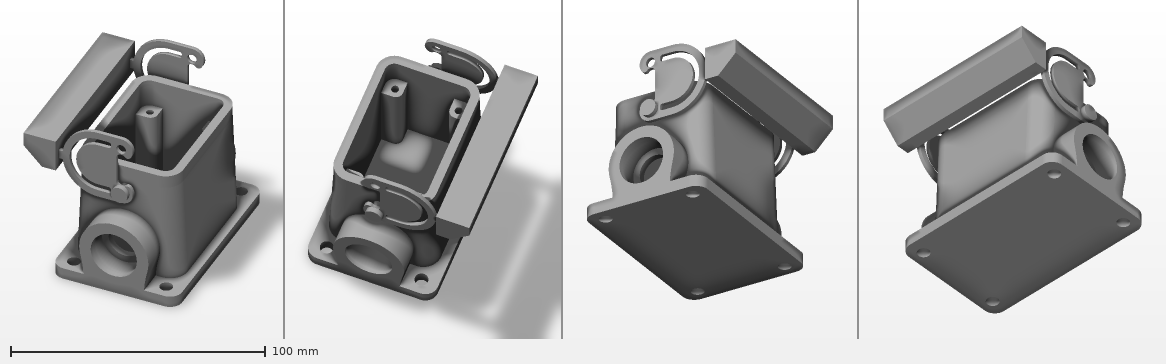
import cadquery as cq
import math

BASE_X = 54.45
BASE_Y = 82.0
BASE_THICKNESS = 5.0
BASE_CORNER_RADIUS = 5.25
MOUNT_HOLE_DIAMETER = 5.5
MOUNT_HOLE_X = 20.0
MOUNT_HOLE_Y = 35.0

SHELL_X_BOTTOM = 46.9
SHELL_X_TOP = 43.05
SHELL_Y = 60.0
SHELL_CORNER_RADIUS = 7.6
SHELL_WALL = 3.6
RIM_Z = 48.55
SHELL_TOP_Z = 54.0

POST_SIZE = 8.0
POST_EDGE_RADIUS = 3.0
POST_TOP_Z = 42.0
POST_HOLE_DIAMETER = 3.1
POST_HOLE_DEPTH = 9.8
POST_HOLE_INSET = 4.5

ENTRY_Z = 18.0
ENTRY_RADIUS = 15.0
ENTRY_FOOT_HALF_WIDTH = 13.1
ENTRY_FLARE_ANGLE = 14.0
ENTRY_BORE_RADIUS = 10.0
ENTRY_BORE_DEPTH = 10.5
KNOCKOUT_RADIUS = 7.05
KNOCKOUT_WEB = 1.0

PLATE_INNER_Y = 32.4
PLATE_THICKNESS = 1.6
LEVER_Z = 54.5
LEVER_ARC_X = -10.0
LEVER_ARC_RADIUS = 15.5
EYE_RADIUS = 5.0
EYE_HOLE_RADIUS = 2.05
EYE_Z_OFFSET = LEVER_ARC_RADIUS - EYE_RADIUS
NOTCH_RADIUS = 2.05
NOTCH_Z_OFFSET = EYE_Z_OFFSET - 4.6
SLOT_OUTER_RADIUS = 12.4
SLOT_INNER_RADIUS = 9.5
SLOT_END_X = -4.4
SLOT_END_FILLET = 1.0

BAR_X_MIN = -41.0
BAR_X_MAX = -27.0
BAR_Y = 74.1
BAR_TOP_Z = 62.6
BAR_BOTTOM_Z = 48.55
BAR_CHAMFER = 8.0
STEM_HEIGHT = 3.9

STUD_Z = LEVER_Z - EYE_Z_OFFSET
STUD_HEAD_RADIUS = 3.5
STUD_HEAD_THICKNESS = 2.1

SIDES = (-1, 1)
diagonal = math.sqrt(0.5)
shell_half_y = SHELL_Y / 2
cavity_half_x = SHELL_X_TOP / 2 - SHELL_WALL
cavity_half_y = shell_half_y - SHELL_WALL


def rounded_rectangle(size_x, size_y, radius):
    return cq.Sketch().rect(size_x, size_y).vertices().fillet(radius)


def shell_block():
    """Tapered block with a straight rim section on top."""
    bottom = rounded_rectangle(SHELL_X_BOTTOM, SHELL_Y, SHELL_CORNER_RADIUS)
    top = rounded_rectangle(SHELL_X_TOP, SHELL_Y, SHELL_CORNER_RADIUS)
    taper = (
        cq.Workplane("XY", origin=(0, 0, BASE_THICKNESS))
        .placeSketch(bottom, top.moved(cq.Location(cq.Vector(0, 0, RIM_Z - BASE_THICKNESS))))
        .loft()
    )
    rim = cq.Workplane("XY", origin=(0, 0, RIM_Z)).placeSketch(top).extrude(SHELL_TOP_Z - RIM_Z)
    return taper.union(rim)


def cavity():
    """Straight pocket from the rim down to the top of the flange."""
    outline = rounded_rectangle(2 * cavity_half_x, 2 * cavity_half_y, SHELL_CORNER_RADIUS - SHELL_WALL)
    return (
        cq.Workplane("XY", origin=(0, 0, BASE_THICKNESS))
        .placeSketch(outline)
        .extrude(SHELL_TOP_Z - BASE_THICKNESS)
    )


def cylinder_along_y(radius, x, z, y_start, y_end):
    """Cylinder between two Y stations."""
    direction = cq.Vector(0, y_end - y_start, 0)
    solid = cq.Solid.makeCylinder(radius, abs(y_end - y_start), cq.Vector(x, y_start, z), direction)
    return cq.Workplane(obj=solid)


def base_flange():
    outline = rounded_rectangle(BASE_X, BASE_Y, BASE_CORNER_RADIUS)
    plate = cq.Workplane("XY").placeSketch(outline).extrude(BASE_THICKNESS)
    return (
        plate.faces(">Z").workplane()
        .rect(2 * MOUNT_HOLE_X, 2 * MOUNT_HOLE_Y, forConstruction=True)
        .vertices()
        .hole(MOUNT_HOLE_DIAMETER)
    )


def corner_posts():
    """Four posts filling the cavity corners, trimmed to its outline."""
    posts = cq.Workplane("XY")
    for side_x in SIDES:
        for side_y in SIDES:
            post = (
                cq.Workplane("XY", origin=(side_x * cavity_half_x, side_y * cavity_half_y, BASE_THICKNESS))
                .rect(2 * POST_SIZE, 2 * POST_SIZE)
                .extrude(POST_TOP_Z - BASE_THICKNESS)
                .edges("|Z")
                .fillet(POST_EDGE_RADIUS)
            )
            posts = posts.union(post)
    posts = posts.intersect(cavity())
    holes = (
        cq.Workplane("XY", origin=(0, 0, POST_TOP_Z))
        .rect(
            2 * (cavity_half_x - POST_HOLE_INSET),
            2 * (cavity_half_y - POST_HOLE_INSET),
            forConstruction=True,
        )
        .vertices()
        .circle(POST_HOLE_DIAMETER / 2)
        .extrude(-POST_HOLE_DEPTH)
    )
    return posts.cut(holes)


def cable_entry_boss():
    """Round boss at the -Y side whose sides curve down into a foot on the flange."""
    angle = math.radians(ENTRY_FLARE_ANGLE)
    blend_x = ENTRY_RADIUS * math.cos(angle)
    blend_z = ENTRY_Z - ENTRY_RADIUS * math.sin(angle)
    half = (
        cq.Workplane("XZ", origin=(0, -shell_half_y, 0))
        .moveTo(0, ENTRY_Z + ENTRY_RADIUS)
        .threePointArc((ENTRY_RADIUS * diagonal, ENTRY_Z + ENTRY_RADIUS * diagonal), (blend_x, blend_z))
        .tangentArcPoint((ENTRY_FOOT_HALF_WIDTH, BASE_THICKNESS), relative=False)
        .lineTo(0, BASE_THICKNESS)
        .close()
        .extrude(BASE_Y / 2 - shell_half_y)
    )
    return half.union(half.mirror("YZ"))


def make_housing():
    body = base_flange().union(shell_block())
    boss = cable_entry_boss()
    body = body.union(boss).union(boss.mirror("XZ"))
    body = body.cut(cavity()).union(corner_posts())
    for side in SIDES:
        wall_y = side * shell_half_y
        bore_end_y = side * (BASE_Y / 2 - ENTRY_BORE_DEPTH)
        bore = cylinder_along_y(ENTRY_BORE_RADIUS, 0, ENTRY_Z, side * BASE_Y / 2, bore_end_y)
        knockout_y = side * (cavity_half_y + KNOCKOUT_WEB)
        knockout = cylinder_along_y(KNOCKOUT_RADIUS, 0, ENTRY_Z, bore_end_y, knockout_y)
        body = body.cut(bore).cut(knockout)
        head_y = side * (PLATE_INNER_Y + PLATE_THICKNESS)
        shank = cylinder_along_y(EYE_HOLE_RADIUS, 0, STUD_Z, wall_y, head_y)
        head_end_y = head_y + side * STUD_HEAD_THICKNESS
        head = cylinder_along_y(STUD_HEAD_RADIUS, 0, STUD_Z, head_y, head_end_y)
        body = body.union(shank).union(head)
    return body


def upper_plate_half():
    """Upper half of one side plate: big arc, eye, rounded hook tip and notch."""
    tip_radius = (EYE_RADIUS - NOTCH_RADIUS) / 2
    tip_distance = EYE_RADIUS - tip_radius
    eye_z = LEVER_Z + EYE_Z_OFFSET
    notch_z = LEVER_Z + NOTCH_Z_OFFSET
    half_gap = (eye_z - notch_z) / 2
    tip_x = math.sqrt(tip_distance**2 - half_gap**2)
    unit_x = tip_x / tip_distance
    unit_z = half_gap / tip_distance

    eye_side = (EYE_RADIUS, eye_z)
    eye_end = (EYE_RADIUS * unit_x, eye_z - EYE_RADIUS * unit_z)
    notch_end = (NOTCH_RADIUS * unit_x, notch_z + NOTCH_RADIUS * unit_z)
    notch_middle_angle = (math.pi + math.asin(unit_z)) / 2
    notch_middle = (
        NOTCH_RADIUS * math.cos(notch_middle_angle),
        notch_z + NOTCH_RADIUS * math.sin(notch_middle_angle),
    )
    return (
        cq.Workplane("XZ", origin=(0, -PLATE_INNER_Y, 0))
        .moveTo(LEVER_ARC_X - LEVER_ARC_RADIUS, LEVER_Z)
        .threePointArc(
            (LEVER_ARC_X - LEVER_ARC_RADIUS * diagonal, LEVER_Z + LEVER_ARC_RADIUS * diagonal),
            (LEVER_ARC_X, LEVER_Z + LEVER_ARC_RADIUS),
        )
        .lineTo(0, LEVER_Z + LEVER_ARC_RADIUS)
        .threePointArc((EYE_RADIUS * diagonal, eye_z + EYE_RADIUS * diagonal), eye_side)
        .tangentArcPoint(eye_end, relative=False)
        .tangentArcPoint(notch_end, relative=False)
        .threePointArc(notch_middle, (-NOTCH_RADIUS, notch_z))
        .lineTo(-NOTCH_RADIUS, LEVER_Z)
        .close()
        .extrude(PLATE_THICKNESS)
    )


def d_shape(radius):
    """Plate-thick D: half disc around the big arc centre, extended straight to the slot end."""
    return (
        cq.Workplane("XZ", origin=(0, -PLATE_INNER_Y, 0))
        .moveTo(SLOT_END_X, LEVER_Z + radius)
        .lineTo(LEVER_ARC_X, LEVER_Z + radius)
        .threePointArc((LEVER_ARC_X - radius, LEVER_Z), (LEVER_ARC_X, LEVER_Z - radius))
        .lineTo(SLOT_END_X, LEVER_Z - radius)
        .close()
        .extrude(PLATE_THICKNESS)
    )


def side_plate():
    """Side plate at the -Y side, with its C-shaped slot, two eye holes and stem."""
    half = upper_plate_half()
    plate = half.union(half.mirror("XY", (0, 0, LEVER_Z)))
    slot = d_shape(SLOT_OUTER_RADIUS).cut(d_shape(SLOT_INNER_RADIUS))
    slot = slot.faces(">X").edges("|Y").fillet(SLOT_END_FILLET)
    plate = plate.cut(slot)
    plate_outer_y = -PLATE_INNER_Y - PLATE_THICKNESS
    for side in SIDES:
        eye_z = LEVER_Z + side * EYE_Z_OFFSET
        plate = plate.cut(cylinder_along_y(EYE_HOLE_RADIUS, 0, eye_z, -PLATE_INNER_Y, plate_outer_y))
    stem_end_x = LEVER_ARC_X - (LEVER_ARC_RADIUS + SLOT_OUTER_RADIUS) / 2
    stem_length = stem_end_x - BAR_X_MAX
    stem = (
        cq.Workplane("XZ", origin=(BAR_X_MAX + stem_length / 2, -PLATE_INNER_Y, LEVER_Z))
        .rect(stem_length, STEM_HEIGHT)
        .extrude(PLATE_THICKNESS)
    )
    return plate.union(stem)


def handle_bar():
    return (
        cq.Workplane("XZ")
        .moveTo(BAR_X_MIN, BAR_TOP_Z)
        .lineTo(BAR_X_MAX, BAR_TOP_Z)
        .lineTo(BAR_X_MAX, BAR_BOTTOM_Z)
        .lineTo(BAR_X_MIN + BAR_CHAMFER, BAR_BOTTOM_Z)
        .lineTo(BAR_X_MIN, BAR_BOTTOM_Z + BAR_CHAMFER)
        .close()
        .extrude(BAR_Y / 2, both=True)
    )


def make_lever():
    plate = side_plate()
    return handle_bar().union(plate).union(plate.mirror("XZ"))


housing = make_housing()
lever = make_lever()
result = cq.Compound.makeCompound([housing.val(), lever.val()])